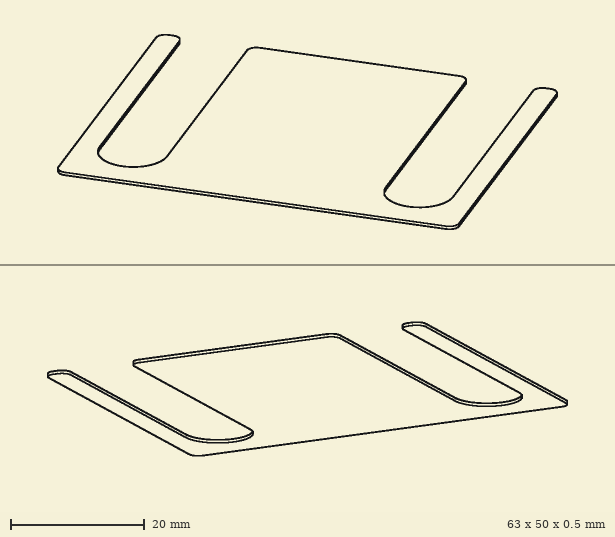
import cadquery as cq

plate_width = 63.0
plate_length = 50.0
thickness = 0.5
corner_radius = 1.5

slot_width = 10.6
slot_spacing = 45.0
slot_arc_inset = 10.0

slot_radius = slot_width / 2
slot_arc_y = slot_arc_inset - plate_length / 2
slot_straight_length = plate_length / 2 - slot_arc_y


def make_plate():
    return cq.Workplane("XY").box(plate_width, plate_length, thickness)


def make_slot(center_x):
    straight = (
        cq.Workplane("XY")
        .center(center_x, slot_arc_y + slot_straight_length / 2)
        .box(slot_width, slot_straight_length, thickness)
    )
    round_end = (
        cq.Workplane("XY", origin=(center_x, slot_arc_y, -thickness / 2))
        .circle(slot_radius)
        .extrude(thickness)
    )
    return straight.union(round_end)


def round_corners(body):
    """Round the plate corners and the corners at both slot mouths."""
    outer_edges = body.faces("<Y or >Y").edges("|Z")
    return outer_edges.fillet(corner_radius)


result = make_plate()
for side in (-1, 1):
    result = result.cut(make_slot(side * slot_spacing / 2))
result = round_corners(result)